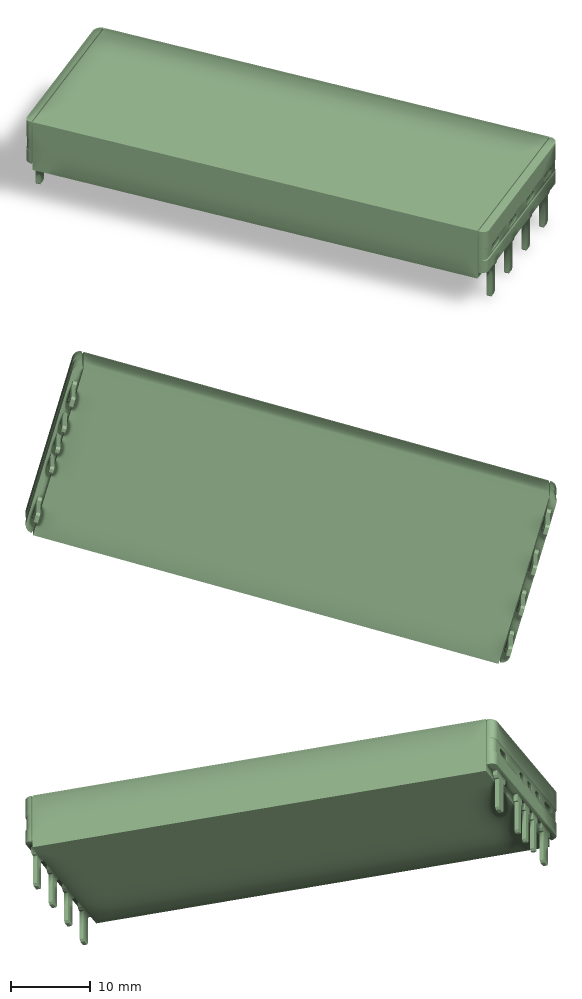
import cadquery as cq

overall_length = 63.34
width = 22.8
core_height = 7.28
pin_drop = 4.15

cap_length = 1.03
cap_gap = 0.17
groove_depth = 0.17
cap_corner_radius = 0.95
waist_corner_radius = 0.9
cap_bottom = 0.88
cap_taper = 0.13
waist_inset = 0.12
waist_bottom = 2.9
waist_top = 4.5

slot_height = 0.95
slot_depth = 0.4

pin_thickness = 0.54
pin_inset = 0.42
pin_root = 0.4
tip_chamfer = 0.28
shoulder_chamfer = 0.3

core_length = overall_length - 2 * (cap_length + cap_gap)
cap_outer_x = overall_length / 2
cap_inner_x = cap_outer_x - cap_length

WIDE = (1.5, 2.9, shoulder_chamfer, 2.5)
NARROW = (1.0, 1.7, 0, 1.65)

left_pins = [
    (-7.95, WIDE),
    (-4.2, NARROW),
    (-1.35, NARROW),
    (1.35, NARROW),
    (7.95, WIDE),
]
right_pin_pitch = 5.56
right_pin_count = 4
right_first_y = -right_pin_pitch * (right_pin_count - 1) / 2
right_pins = [(right_first_y + i * right_pin_pitch, WIDE) for i in range(right_pin_count)]


def rail(z_inner, z_outer, z_waist):
    """Rail of the +X cap: tapered away from the waist, edges toward the waist chamfered."""
    profile = [
        (cap_inner_x, z_waist),
        (cap_outer_x, z_waist),
        (cap_outer_x, z_outer),
        (cap_inner_x, z_inner),
    ]
    waist_side = ">Z" if z_waist > z_inner else "<Z"
    block = (
        cq.Workplane("XZ", origin=(0, width / 2, 0))
        .polyline(profile)
        .close()
        .extrude(width)
        .edges("|Z and >X")
        .fillet(cap_corner_radius)
    )
    return block.faces(waist_side).edges("not <X").chamfer(waist_inset)


def cap_body():
    """+X cap: two rails, the recessed waist between them and the web joining them to the core."""
    lower_rail = rail(cap_bottom, cap_bottom + cap_taper, waist_bottom)
    upper_rail = rail(core_height, core_height - cap_taper, waist_top)
    waist_length = cap_length - waist_inset
    waist = (
        cq.Workplane("XY", origin=(cap_inner_x + waist_length / 2, 0, waist_bottom - waist_inset))
        .rect(waist_length, width)
        .extrude(waist_top - waist_bottom + 2 * waist_inset)
        .edges("|Z and >X")
        .fillet(waist_corner_radius)
    )
    web_length = cap_gap + cap_length / 2
    web_width = width - 2 * groove_depth
    web_low = cap_bottom + groove_depth
    web_height = core_height - groove_depth - web_low
    web = cq.Workplane("XY", origin=(core_length / 2 + web_length / 2, 0, web_low))
    web = web.rect(web_length, web_width).extrude(web_height)
    return lower_rail.union(upper_rail).union(waist).union(web)


def plate(y, plate_width, z_low, z_high, bottom_chamfer):
    """Vertical plate of pin thickness at the +X end, with its lower corners cut off."""
    x = cap_outer_x - pin_inset - pin_thickness / 2
    base = cq.Workplane("XY", origin=(x, y, z_low))
    body = base.rect(pin_thickness, plate_width).extrude(z_high - z_low)
    if bottom_chamfer:
        body = body.edges("|X and <Z").chamfer(bottom_chamfer)
    return body


def pin(y, pin_type):
    """Blade hanging from a wider shoulder that is rooted in the cap."""
    blade_width, shoulder_width, chamfer, _ = pin_type
    root = cap_bottom + pin_root
    shoulder = plate(y, shoulder_width, 0, root, chamfer)
    return shoulder.union(plate(y, blade_width, -pin_drop, root, tip_chamfer))


def slot(y, slot_width):
    """Cutter for a round-ended slot in the waist face."""
    waist_face_x = cap_outer_x - waist_inset
    return (
        cq.Workplane("YZ", origin=(waist_face_x - slot_depth, y, (waist_bottom + waist_top) / 2))
        .slot2D(slot_width, slot_height)
        .extrude(2 * slot_depth)
    )


def end_assembly(pins):
    """Complete +X end: cap with its slots and pins."""
    end = cap_body()
    for y, pin_type in pins:
        slot_width = pin_type[-1]
        end = end.cut(slot(y, slot_width)).union(pin(y, pin_type))
    return end


core = cq.Workplane("XY").rect(core_length, width).extrude(core_height)
right_end = end_assembly(right_pins)
left_end = end_assembly(left_pins).mirror("YZ")
result = core.union(right_end).union(left_end)